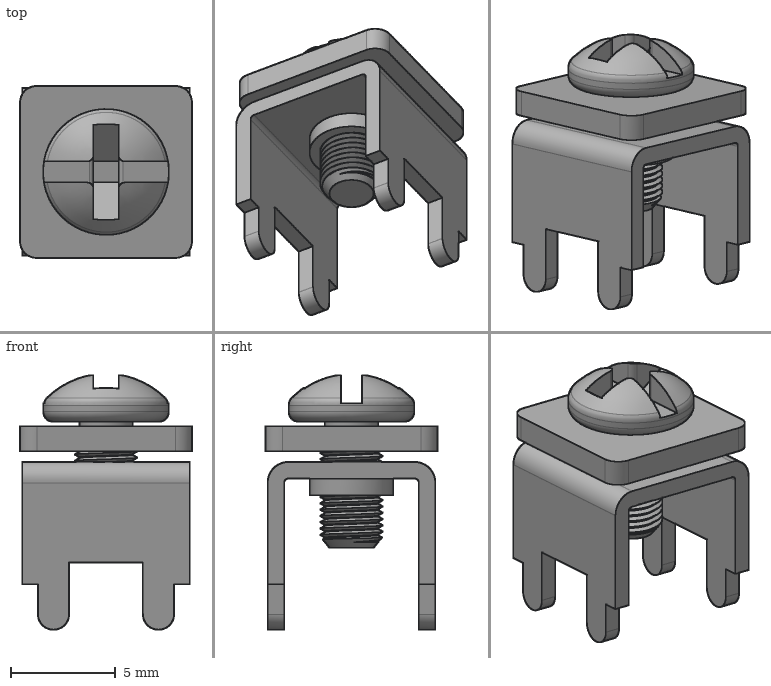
import cadquery as cq
import math


BRACKET_SIZE = 8.0
BRACKET_HEIGHT = 8.0
SHEET = 0.8
BEND_INNER_RADIUS = 0.2
BEND_OUTER_RADIUS = BEND_INNER_RADIUS + SHEET
SHOULDER_Z = 2.17
WINDOW_TOP_Z = 3.2
PIN_WIDTH = 1.5
PIN_SPACING = 5.0
COLLAR_DIAMETER = 4.0
COLLAR_HEIGHT = 0.8

WASHER_SIZE = 8.2
WASHER_THICKNESS = 1.2
WASHER_CORNER_RADIUS = 0.8
WASHER_GAP = 0.5
WASHER_BOTTOM_Z = BRACKET_HEIGHT + WASHER_GAP
WASHER_TOP_Z = WASHER_BOTTOM_Z + WASHER_THICKNESS

HEAD_GAP = 0.2
HEAD_BASE_Z = WASHER_TOP_Z + HEAD_GAP
HEAD_RADIUS = 3.0
HEAD_EDGE_RADIUS = 0.5
HEAD_BAND = 0.3
DOME_RADIUS = 4.045
SCREW_LENGTH = 6.0
TIP_Z = HEAD_BASE_Z - SCREW_LENGTH
TIP_RADIUS = 1.05
TIP_CONE_HEIGHT = 0.55
THREAD_RADIUS = 1.5
CORE_RADIUS = 1.275
THREAD_PITCH = 0.3
THREAD_ANGLE = 60
THREAD_LEAD_IN = 0.2
THREAD_ROOT_OVERLAP = 0.03
THREAD_TOP_Z = WASHER_BOTTOM_Z + WASHER_THICKNESS / 2

SLOT_WIDTH = 1.0
SLOT_FLOOR_HEIGHT = 0.9
SLOT_FLOOR_Z = HEAD_BASE_Z + SLOT_FLOOR_HEIGHT
POCKET_WIDTH = 1.2
POCKET_LENGTH = 4.5
POCKET_FLOOR_HEIGHT = 0.3
POCKET_FLOOR_Z = HEAD_BASE_Z + POCKET_FLOOR_HEIGHT
POCKET_END_HEIGHT = 1.6
POCKET_END_Z = HEAD_BASE_Z + POCKET_END_HEIGHT
RECESS_CORNER_RADIUS = 0.3
FLOOR_EDGE_RADIUS = 0.2

BORE_RADIUS = THREAD_RADIUS


def make_bracket():
    outer = (
        cq.Workplane("XY")
        .box(BRACKET_SIZE, BRACKET_SIZE, BRACKET_HEIGHT, centered=(True, True, False))
        .edges("|X and >Z")
        .fillet(BEND_OUTER_RADIUS)
    )
    inner = (
        cq.Workplane("XY")
        .box(BRACKET_SIZE, BRACKET_SIZE - 2 * SHEET, BRACKET_HEIGHT - SHEET, centered=(True, True, False))
        .edges("|X and >Z")
        .fillet(BEND_INNER_RADIUS)
    )
    collar = (
        cq.Workplane("XY", origin=(0, 0, BRACKET_HEIGHT - SHEET - COLLAR_HEIGHT))
        .circle(COLLAR_DIAMETER / 2)
        .extrude(COLLAR_HEIGHT)
    )
    bore = cq.Workplane("XY").circle(BORE_RADIUS).extrude(BRACKET_HEIGHT)
    return outer.intersect(side_outline()).cut(inner).union(collar).cut(bore)


def side_outline():
    """Side-plate outline with its round-ended pins, extruded across the whole bracket."""
    plate_half = BRACKET_SIZE / 2
    tip_radius = PIN_WIDTH / 2
    pin_outer = PIN_SPACING / 2 + tip_radius
    pin_inner = PIN_SPACING / 2 - tip_radius
    return (
        cq.Workplane("XZ")
        .moveTo(-plate_half, BRACKET_HEIGHT)
        .lineTo(-plate_half, SHOULDER_Z)
        .lineTo(-pin_outer, SHOULDER_Z)
        .lineTo(-pin_outer, tip_radius)
        .threePointArc((-PIN_SPACING / 2, 0), (-pin_inner, tip_radius))
        .lineTo(-pin_inner, WINDOW_TOP_Z)
        .lineTo(pin_inner, WINDOW_TOP_Z)
        .lineTo(pin_inner, tip_radius)
        .threePointArc((PIN_SPACING / 2, 0), (pin_outer, tip_radius))
        .lineTo(pin_outer, SHOULDER_Z)
        .lineTo(plate_half, SHOULDER_Z)
        .lineTo(plate_half, BRACKET_HEIGHT)
        .close()
        .extrude(BRACKET_SIZE / 2, both=True)
    )


def make_washer():
    return (
        cq.Workplane("XY", origin=(0, 0, WASHER_BOTTOM_Z))
        .rect(WASHER_SIZE, WASHER_SIZE)
        .extrude(WASHER_THICKNESS)
        .edges("|Z")
        .fillet(WASHER_CORNER_RADIUS)
        .faces(">Z")
        .workplane()
        .hole(2 * BORE_RADIUS)
    )


def make_head():
    """Pan head: rounded rim whose upper edge runs tangentially into a spherical dome."""
    edge_center_r = HEAD_RADIUS - HEAD_EDGE_RADIUS
    lower_center_z = HEAD_BASE_Z + HEAD_EDGE_RADIUS
    upper_center_z = lower_center_z + HEAD_BAND
    center_distance = DOME_RADIUS - HEAD_EDGE_RADIUS
    dome_center_z = upper_center_z - math.sqrt(center_distance**2 - edge_center_r**2)
    tangent_angle = math.asin(edge_center_r / center_distance)

    def on_dome(angle):
        return (DOME_RADIUS * math.sin(angle), dome_center_z + DOME_RADIUS * math.cos(angle))

    def on_edge(center_z, angle):
        return (
            edge_center_r + HEAD_EDGE_RADIUS * math.sin(angle),
            center_z + HEAD_EDGE_RADIUS * math.cos(angle),
        )

    quarter = math.pi / 2
    return (
        cq.Workplane("XZ")
        .moveTo(0, HEAD_BASE_Z)
        .lineTo(edge_center_r, HEAD_BASE_Z)
        .threePointArc(on_edge(lower_center_z, 1.5 * quarter), (HEAD_RADIUS, lower_center_z))
        .lineTo(HEAD_RADIUS, upper_center_z)
        .threePointArc(on_edge(upper_center_z, (tangent_angle + quarter) / 2), on_dome(tangent_angle))
        .threePointArc(on_dome(tangent_angle / 2), on_dome(0))
        .close()
        .revolve(360, (0, 0), (0, 1))
    )


def cut_recess(head):
    """Cut the slot and the sloped pocket, then round the edges where they cross."""
    cut_top_z = HEAD_BASE_Z + DOME_RADIUS
    slot = (
        cq.Workplane("XY", origin=(0, 0, SLOT_FLOOR_Z))
        .rect(2 * HEAD_RADIUS, SLOT_WIDTH)
        .extrude(cut_top_z - SLOT_FLOOR_Z)
    )
    half_floor = SLOT_WIDTH / 2
    slope = (POCKET_END_Z - POCKET_FLOOR_Z) / (POCKET_LENGTH / 2 - half_floor)
    slope_run = (cut_top_z - POCKET_FLOOR_Z) / slope
    pocket = (
        cq.Workplane("YZ")
        .moveTo(-half_floor, POCKET_FLOOR_Z)
        .lineTo(half_floor, POCKET_FLOOR_Z)
        .lineTo(half_floor + slope_run, cut_top_z)
        .lineTo(-half_floor - slope_run, cut_top_z)
        .close()
        .extrude(POCKET_WIDTH / 2, both=True)
    )
    crossing = cq.selectors.BoxSelector(
        (-POCKET_WIDTH, -SLOT_WIDTH, SLOT_FLOOR_Z - FLOOR_EDGE_RADIUS),
        (POCKET_WIDTH, SLOT_WIDTH, cut_top_z),
    )
    recessed = head.cut(slot).cut(pocket)
    rounded_corners = recessed.edges(crossing).edges("|Z").fillet(RECESS_CORNER_RADIUS)
    return rounded_corners.edges(crossing).edges("|Y").fillet(FLOOR_EDGE_RADIUS)


def revolve_shaft(radius, top_z):
    """Solid shaft from the conical tip up to top_z."""
    cone_slope = (THREAD_RADIUS - TIP_RADIUS) / TIP_CONE_HEIGHT
    cone_top_z = TIP_Z + (radius - TIP_RADIUS) / cone_slope
    return (
        cq.Workplane("XZ")
        .moveTo(0, TIP_Z)
        .lineTo(TIP_RADIUS, TIP_Z)
        .lineTo(radius, cone_top_z)
        .lineTo(radius, top_z)
        .lineTo(0, top_z)
        .close()
        .revolve(360, (0, 0), (0, 1))
    )


def make_thread():
    """Right-hand V ridge wound around the core and trimmed by the conical tip."""
    root_radius = CORE_RADIUS - THREAD_ROOT_OVERLAP
    half_base = (THREAD_RADIUS - root_radius) * math.tan(math.radians(THREAD_ANGLE / 2))
    start_z = TIP_Z - THREAD_LEAD_IN
    helix = cq.Wire.makeHelix(THREAD_PITCH, THREAD_TOP_Z - start_z, root_radius, cq.Vector(0, 0, start_z))
    ridge = (
        cq.Workplane("XZ")
        .moveTo(root_radius, start_z - half_base)
        .lineTo(THREAD_RADIUS, start_z)
        .lineTo(root_radius, start_z + half_base)
        .close()
        .sweep(cq.Workplane(obj=helix), isFrenet=True)
    )
    return ridge.intersect(revolve_shaft(THREAD_RADIUS, WASHER_TOP_Z))


def make_screw():
    shaft = revolve_shaft(CORE_RADIUS, HEAD_BASE_Z)
    return cut_recess(make_head()).union(shaft.union(make_thread()))


bracket = make_bracket()
washer = make_washer()
screw = make_screw()

result = cq.Compound.makeCompound([body.solids().val() for body in (bracket, washer, screw)])